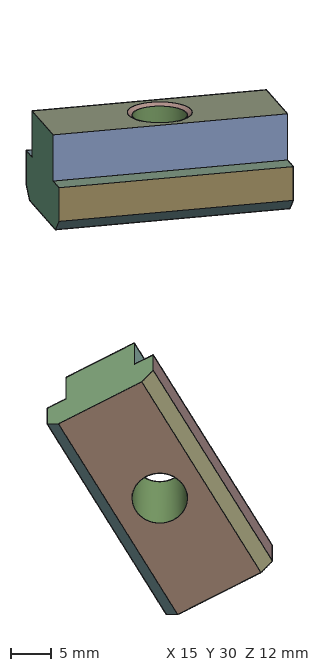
import cadquery as cq

length = 30.0
base_width = 15.0
height = 12.0

base_height = height / 2
neck_width = 9.65
bottom_chamfer = 1.62

hole_diameter = 6.8
countersink_diameter = 8.0
countersink_angle = 120.0


def make_body():
    """T-shaped bar along Y, with its lower long edges chamfered."""
    base = (
        cq.Workplane("XY")
        .box(base_width, length, base_height, centered=(True, True, False))
        .edges("|Y and <Z")
        .chamfer(bottom_chamfer)
    )
    neck = cq.Workplane("XY").box(neck_width, length, height, centered=(True, True, False))
    return base.union(neck)


def cut_hole(body):
    """Countersunk hole through the middle of the neck."""
    return (
        body.faces(">Z")
        .workplane(origin=(0, 0, height))
        .cskHole(hole_diameter, countersink_diameter, countersink_angle)
    )


result = cut_hole(make_body())